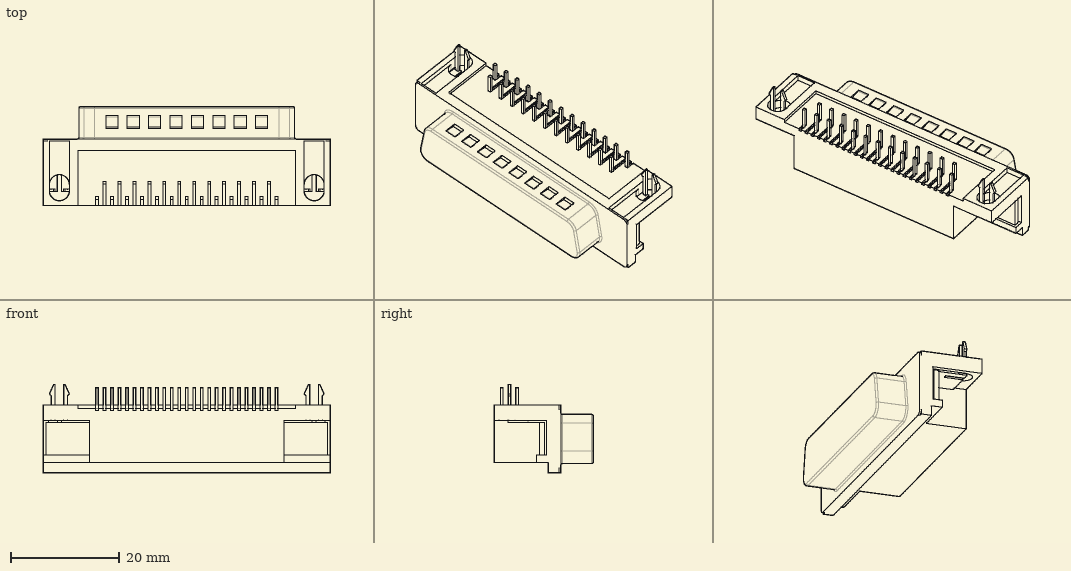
import cadquery as cq
import math


WIDTH = 53.04
DEPTH = 18.3
FLANGE_HEIGHT = 12.55
LOCK_HEIGHT = 3.8

PLATE_FRONT_Y = 12.3
PLATE_THICKNESS = 0.35
PLATE_CORNER_RADIUS = 0.85
SHELL_TOP_Z = -1.73
SHELL_HEIGHT = 9.13
SHELL_MID_WIDTH = 39.03
SHELL_SLANT = math.radians(10)
SHELL_CORNER_RADIUS = 2.0
SHELL_RIM_FILLET = 0.35
SHELL_ROOT_FILLET = 0.3

DIMPLE_COUNT = 8
DIMPLE_PITCH = 3.95
DIMPLE_WIDTH = 2.25
DIMPLE_REAR_Y = 14.2
DIMPLE_LENGTH = 2.4
DIMPLE_DEPTH = 0.4
DIMPLE_FRONT_DEPTH = 0.1
DIMPLE_RAMP_LENGTH = 0.33
DIMPLE_FRONT_LENGTH = 0.2

HOUSING_BOTTOM_Z = -10.65
FLANGE_BACK_Y = 9.95
CORE_WIDTH = 35.9
WING_THICKNESS = 2.85
POCKET_FRONT_Y = 9.64
LEDGE_TOP_Z = -9.24
LEDGE_BACK_Y = 7.84

FIELD_WIDTH = 40.2
FIELD_FRONT_Y = 10.2
FIELD_DEPTH = 0.65
GROOVE_DEPTH = 0.37
PIN_SIZE = 0.52
PIN_HEIGHT = 3.2
PIN_PITCH = 2.76
ROW_PITCH = 2.84
REAR_ROW_Y = 1.4
REAR_ROW_COUNT = 13
FRONT_ROW_COUNT = 12

LOCK_X = 23.52
LOCK_Y = REAR_ROW_Y + ROW_PITCH / 2
LOCK_THICKNESS = 0.5
CHANNEL_WIDTH = 3.67
CHANNEL_DEPTH = 1.1
HOLE_REAR_Y = 0.92
HOLE_FRONT_Y = 5.72
LEG_INNER = 0.78
LEG_OUTER = 1.52
LEG_TIP = 1.05
BARB_REACH = 1.85
BARB_Z = 2.05
BARB_BASE_Z = 1.65

BRACKET_THICKNESS = 0.37
BRACKET_OUTER_X = 25.52
BRACKET_SLOT_WIDTH = 0.74
BRACKET_SLOT_FRONT_Y = 6.2
BLOCK_OUTER_X = 26.02
BLOCK_BACK_Y = 8.34

PLATE_BACK_Y = PLATE_FRONT_Y - PLATE_THICKNESS
CORE_X = CORE_WIDTH / 2
BRACKET_REAR_Y = LOCK_Y - LOCK_THICKNESS / 2


def box(x_range, y_range, z_range):
    """Box between the given limits on each axis."""
    (x0, x1), (y0, y1), (z0, z1) = x_range, y_range, z_range
    return cq.Workplane("XY").box(x1 - x0, y1 - y0, z1 - z0, centered=False).translate((x0, y0, z0))


def both_sides(left):
    """The left-hand solid together with its mirror image."""
    return left.union(left.mirror("YZ"))


def centred_row(count, pitch):
    """Positions of a row that is centred on zero."""
    return [(i - (count - 1) / 2) * pitch for i in range(count)]


def make_housing():
    half = WIDTH / 2
    body = box((-half, half), (0, PLATE_BACK_Y), (HOUSING_BOTTOM_Z, 0))
    lip = box((-half, half), (FLANGE_BACK_Y, PLATE_BACK_Y), (-FLANGE_HEIGHT, HOUSING_BOTTOM_Z))
    pocket = box((-half, -CORE_X), (0, POCKET_FRONT_Y), (LEDGE_TOP_Z, -WING_THICKNESS))
    below_ledge = box((-half, -CORE_X), (0, LEDGE_BACK_Y), (HOUSING_BOTTOM_Z, LEDGE_TOP_Z))
    return body.union(lip).cut(both_sides(pocket.union(below_ledge)))


def make_lock_opening():
    """Shallow channel from the flange plate, ending in an obround through hole."""
    radius = CHANNEL_WIDTH / 2
    hole_length = HOLE_FRONT_Y - HOLE_REAR_Y
    hole_y = (HOLE_FRONT_Y + HOLE_REAR_Y) / 2
    hole = (
        cq.Workplane("XY")
        .center(-LOCK_X, hole_y)
        .slot2D(hole_length, CHANNEL_WIDTH, 90)
        .extrude(-WING_THICKNESS)
    )
    channel = box(
        (-LOCK_X - radius, -LOCK_X + radius),
        (hole_y, PLATE_BACK_Y),
        (-CHANNEL_DEPTH, 0),
    )
    return both_sides(hole.union(channel))


def make_plate():
    return (
        cq.Workplane("XY")
        .box(WIDTH, PLATE_THICKNESS, FLANGE_HEIGHT)
        .edges("|Y")
        .fillet(PLATE_CORNER_RADIUS)
        .translate((0, PLATE_BACK_Y + PLATE_THICKNESS / 2, -FLANGE_HEIGHT / 2))
    )


def make_shell_prism():
    """D-shaped prism whose wide side faces -Z."""
    lean = SHELL_HEIGHT / 2 * math.tan(SHELL_SLANT)
    top = SHELL_MID_WIDTH / 2 - lean
    bottom = SHELL_MID_WIDTH / 2 + lean
    bottom_z = SHELL_TOP_Z - SHELL_HEIGHT
    corners = [(-top, SHELL_TOP_Z), (top, SHELL_TOP_Z), (bottom, bottom_z), (-bottom, bottom_z)]
    return (
        cq.Workplane("XZ", origin=(0, PLATE_FRONT_Y, 0))
        .polyline(corners)
        .close()
        .extrude(PLATE_FRONT_Y - DEPTH)
        .edges("|Y")
        .fillet(SHELL_CORNER_RADIUS)
    )


def make_dimples():
    surface = SHELL_TOP_Z
    front_y = DIMPLE_REAR_Y + DIMPLE_LENGTH
    profile = [
        (DIMPLE_REAR_Y, surface),
        (DIMPLE_REAR_Y + DIMPLE_RAMP_LENGTH, surface - DIMPLE_DEPTH),
        (front_y - DIMPLE_FRONT_LENGTH, surface - DIMPLE_FRONT_DEPTH),
        (front_y, surface),
    ]
    dimple = cq.Workplane("YZ").polyline(profile).close().extrude(DIMPLE_WIDTH / 2, both=True)
    dimples = cq.Workplane("XY")
    for x in centred_row(DIMPLE_COUNT, DIMPLE_PITCH):
        dimples = dimples.add(dimple.translate((x, 0, 0)))
    return dimples.combine()


def make_shell():
    """Flange plate and drawn shell, with a rounded rim and a flared root."""
    shell = make_shell_prism().faces(">Y").edges().fillet(SHELL_RIM_FILLET).union(make_plate())
    inset = WIDTH / 2 - PLATE_CORNER_RADIUS
    root_edges = cq.selectors.BoxSelector(
        (-inset, PLATE_FRONT_Y - PLATE_THICKNESS / 2, -FLANGE_HEIGHT + PLATE_CORNER_RADIUS),
        (inset, PLATE_FRONT_Y + PLATE_THICKNESS / 2, -PLATE_CORNER_RADIUS),
    )
    return shell.edges(root_edges).fillet(SHELL_ROOT_FILLET).cut(make_dimples())


def pin_positions():
    rear = [(x, REAR_ROW_Y) for x in centred_row(REAR_ROW_COUNT, PIN_PITCH)]
    front = [(x, REAR_ROW_Y + ROW_PITCH) for x in centred_row(FRONT_ROW_COUNT, PIN_PITCH)]
    return rear + front


def add_pin_field(body):
    """Recess with one groove per pin, each running from the rear face to its pin."""
    half = FIELD_WIDTH / 2
    groove_z = -FIELD_DEPTH - GROOVE_DEPTH
    grooves = cq.Workplane("XY")
    pins = cq.Workplane("XY")
    for x, y in pin_positions():
        sides = (x - PIN_SIZE / 2, x + PIN_SIZE / 2)
        pin_front = y + PIN_SIZE / 2
        pin_rear = y - PIN_SIZE / 2
        grooves = grooves.add(box(sides, (0, pin_front), (groove_z, -FIELD_DEPTH)))
        pins = pins.add(box(sides, (pin_rear, pin_front), (groove_z, PIN_HEIGHT)))
    recess = box((-half, half), (0, FIELD_FRONT_Y), (-FIELD_DEPTH, 0))
    return body.cut(recess).cut(grooves.combine()).union(pins.combine())


def make_lock_leg():
    """Right-hand barbed leg of the board lock, centred on X = 0."""
    outline = [
        (LEG_INNER, -WING_THICKNESS),
        (LEG_OUTER, -WING_THICKNESS),
        (LEG_OUTER, BARB_BASE_Z),
        (BARB_REACH, BARB_Z),
        (LEG_TIP, LOCK_HEIGHT),
        (LEG_INNER, LOCK_HEIGHT),
    ]
    leg = cq.Workplane("XZ").polyline(outline).close().extrude(LOCK_THICKNESS / 2, both=True)
    return leg.translate((0, LOCK_Y, 0))


def make_brackets():
    """Slotted plate under the wing, its upright with a block, and the two lock legs."""
    upright_back_y = POCKET_FRONT_Y - BRACKET_THICKNESS
    plate_bottom = -WING_THICKNESS - BRACKET_THICKNESS
    plate = box(
        (-BRACKET_OUTER_X, -CORE_X),
        (BRACKET_REAR_Y, POCKET_FRONT_Y),
        (plate_bottom, -WING_THICKNESS),
    )
    slot = box(
        (-LOCK_X - BRACKET_SLOT_WIDTH / 2, -LOCK_X + BRACKET_SLOT_WIDTH / 2),
        (BRACKET_REAR_Y, BRACKET_SLOT_FRONT_Y),
        (plate_bottom, -WING_THICKNESS),
    )
    upright = box(
        (-BRACKET_OUTER_X, -CORE_X),
        (upright_back_y, POCKET_FRONT_Y),
        (LEDGE_TOP_Z, -WING_THICKNESS),
    )
    block = box((-BLOCK_OUTER_X, -CORE_X), (BLOCK_BACK_Y, upright_back_y), (LEDGE_TOP_Z, plate_bottom))
    legs = both_sides(make_lock_leg()).translate((-LOCK_X, 0, 0))
    return both_sides(plate.cut(slot).union(upright).union(block).union(legs))


housing = add_pin_field(make_housing().cut(make_lock_opening()))
result = housing.union(make_shell()).union(make_brackets())